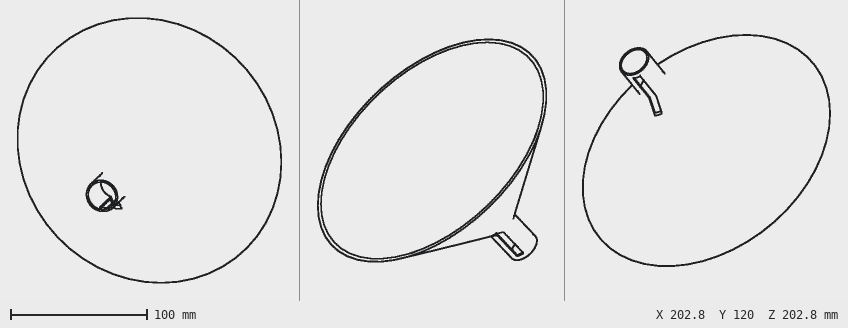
import cadquery as cq
import math

rim_radius = 101.4
total_length = 120.0
spout_radius = 12.0
bore_radius = 10.5
cone_wall = 2.0
neck_fillet = 1.5
slot_width = 5.7
slot_start = 4.3
slot_length = 36.0
half_angle = math.radians(45)

slope = math.tan(half_angle)
outer_neck = total_length - (rim_radius - spout_radius) / slope
inner_rim_radius = rim_radius - cone_wall / math.cos(half_angle)
inner_neck = total_length - (inner_rim_radius - bore_radius) / slope


def revolved(points):
    """Revolve a closed (radius, Y) outline about the Y axis."""
    return cq.Workplane("XY").polyline(points).close().revolve(360, (0, 0, 0), (0, 1, 0))


outer_body = revolved([
    (0, 0),
    (spout_radius, 0),
    (spout_radius, outer_neck),
    (rim_radius, total_length),
    (0, total_length),
])
neck_margin = 0.2
neck_edge = cq.selectors.BoxSelector(
    (-rim_radius, outer_neck - neck_margin, -rim_radius),
    (rim_radius, outer_neck + neck_margin, rim_radius),
)
outer_body = outer_body.edges(neck_edge).edges("%CIRCLE").fillet(neck_fillet)

passage = revolved([
    (0, 0),
    (bore_radius, 0),
    (bore_radius, inner_neck),
    (inner_rim_radius, total_length),
    (0, total_length),
])

slot = cq.Workplane("XY").box(
    slot_width, slot_length, rim_radius, centered=(True, False, False)
).translate((0, slot_start, -rim_radius))

result = outer_body.cut(passage).cut(slot)